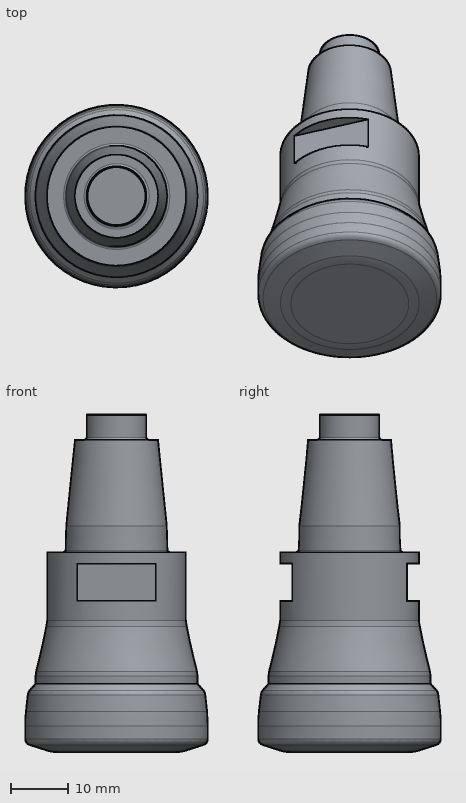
import cadquery as cq

total_height = 58.9

cap_height = 11.9
cap_radius = 31.85 / 2
cap_seat_radius = 14.15
cap_foot_radius = 11.2
cap_lower_corner_z = 1.55
cap_wall_top_z = 5.9
cap_shoulder_radius = 15.4
cap_shoulder_z = 10.5
cap_foot_rounding = 5.9
cap_lower_rounding = 1.2
cap_wall_rounding = 23.55
cap_shoulder_rounding = 1.5

skirt_radius = 14.15
skirt_rim_z = 13.3
flare_bottom_z = 14.15
flare_bottom_radius = 14.0
flare_middle_z = 18.0
flare_middle_radius = 13.1
flare_top_z = 21.95
flare_top_radius = 12.25

collar_radius = 24.2 / 2
collar_bottom_z = 22.95
collar_top_z = 34.85
flat_bottom_z = 26.4
flat_top_z = 32.85
flat_distance = 10.0

neck_fillet = 0.35
neck_base_radius = 8.9
neck_bend_z = 39.45
neck_bend_radius = 8.8
neck_top_z = 54.4
neck_top_radius = 7.25

tip_radius = 10.4 / 2
tip_fillet = 0.5
tip_chamfer = 0.2


def make_cap():
    """Round cap with a sloping underside, an upright wall and a tapered shoulder, all blended."""
    cap_body = (
        cq.Workplane("XZ")
        .lineTo(cap_foot_radius, 0)
        .lineTo(cap_radius, cap_lower_corner_z)
        .lineTo(cap_radius, cap_wall_top_z)
        .lineTo(cap_shoulder_radius, cap_shoulder_z)
        .lineTo(cap_seat_radius, cap_height)
        .lineTo(0, cap_height)
        .close()
        .revolve()
    )
    roundings = [
        (0, cap_foot_rounding),
        (cap_lower_corner_z, cap_lower_rounding),
        (cap_wall_top_z, cap_wall_rounding),
        (cap_shoulder_z, cap_shoulder_rounding),
    ]
    for height, rounding in roundings:
        corner = cq.selectors.NearestToPointSelector((0, 0, height))
        cap_body = cap_body.edges("%CIRCLE").edges(corner).fillet(rounding)
    return cap_body


def make_housing_blank():
    """Turned housing: skirt, flare, collar, tapered neck and tip."""
    return (
        cq.Workplane("XZ")
        .moveTo(0, cap_height)
        .lineTo(skirt_radius, cap_height)
        .lineTo(skirt_radius, skirt_rim_z)
        .lineTo(flare_bottom_radius, flare_bottom_z)
        .threePointArc((flare_middle_radius, flare_middle_z), (flare_top_radius, flare_top_z))
        .lineTo(collar_radius, collar_bottom_z)
        .lineTo(collar_radius, collar_top_z)
        .lineTo(neck_base_radius + neck_fillet, collar_top_z)
        .radiusArc((neck_base_radius, collar_top_z + neck_fillet), neck_fillet)
        .lineTo(neck_bend_radius, neck_bend_z)
        .lineTo(neck_top_radius, neck_top_z)
        .lineTo(tip_radius + tip_fillet, neck_top_z)
        .radiusArc((tip_radius, neck_top_z + tip_fillet), tip_fillet)
        .lineTo(tip_radius, total_height - tip_chamfer)
        .lineTo(tip_radius - tip_chamfer, total_height)
        .lineTo(0, total_height)
        .close()
        .revolve()
    )


def make_flat_cutter(side):
    """Block that removes the collar beyond one wrench flat, on the +Y or -Y side."""
    return cq.Workplane("XY").box(
        2 * collar_radius,
        collar_radius,
        flat_top_z - flat_bottom_z,
    ).translate((0, side * (flat_distance + collar_radius / 2), (flat_bottom_z + flat_top_z) / 2))


def make_housing():
    """Housing with a wrench flat on each side of the collar."""
    body = make_housing_blank()
    for side in (-1, 1):
        body = body.cut(make_flat_cutter(side))
    return body


cap = make_cap()
housing = make_housing()

result = cq.Compound.makeCompound([cap.val(), housing.val()])